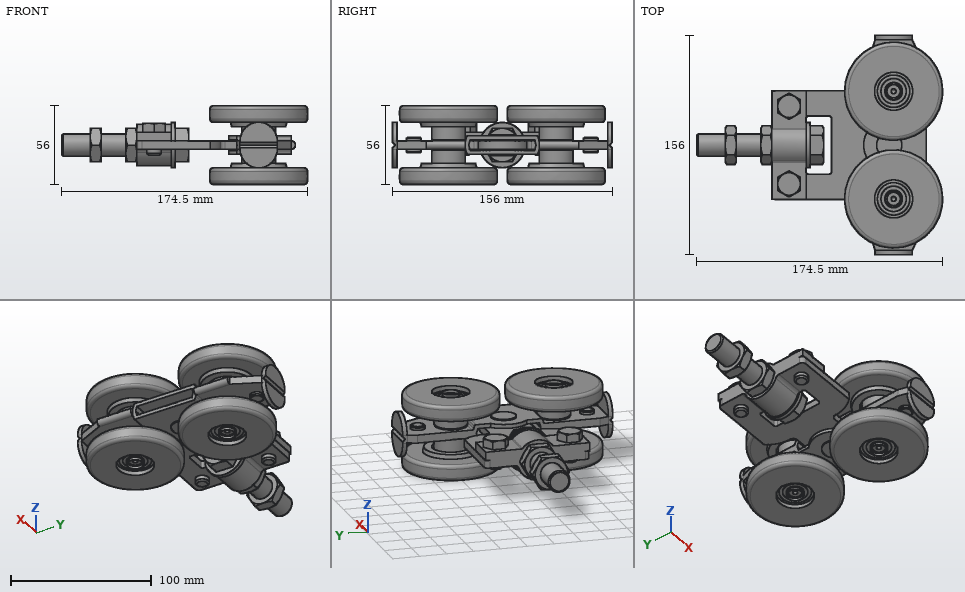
import cadquery as cq
import math


plate_half_thick = 3.0
plate_half_width = 38.7
plate_start_x = 53.2
plate_corner_radius = 3.3
plate_shoulder_x = 105.2
plate_end_x = 112.4
plate_end_half_width = 20.5
tongue_fillet = 3.1
tongue_half_width = plate_end_half_width - tongue_fillet
window_end_x = 95.5
window_half_width = 20.6
window_corner_radius = 1.7

wheel_x = 139.6
wheel_y = 38.2
wheel_radius = 34.9
wheel_top_z = 28.0
wheel_bottom_z = 16.0
wheel_edge_radius = 2.6
wheel_crown = 0.2
flange_bottom_z = 13.0
flange_bottom_radius = 19.2
flange_top_radius = 20.0
boss_radius = 24.0 / 2
boss_bottom_z = 3.8
spacer_radius = 11.5
recess_radius = 27.0 / 2
recess_depth = 3.5
seal_outer_radius = 23.0 / 2
seal_inner_radius = 18.0 / 2
seal_height = 0.9
axle_radius = 6.3
axle_drop = 0.5
axle_cup_radius = 6.0
axle_cup_depth = 2.3
axle_step_radius = 9.5 / 2
axle_step_depth = 0.2
axle_center_radius = 3.5 / 2

arm_edge_x = 124.2
arm_back_x = 162.8
arm_end_y = 74.7
sheet_thick = 3.0
sheet_lift = 3.7
joggle_start_y = 25.1
joggle_run = 1.0
joggle_wall = 2.3
joggle_fillet = 1.2
arm_neck_y = 67.7
arm_taper_y = 54.1
pivot_x = 136.5
pivot_lug_radius = 18.1
pivot_radius = 18.0 / 2
pivot_pin_rise = 0.9
rivet_y = 62.8
rivet_radius = 10.5 / 2
rivet_half_height = 5.5
rivet_chamfer = 0.9

disc_half_width = 13.3
disc_thick = 3.3
disc_groove = 2.0

clamp_length = 24.3
clamp_half_width = 38.5
clamp_top_z = 9.2
barrel_radius = 14.8
barrel_top_fillet = 1.0
barrel_bottom_fillet = 3.1
screw_y = 27.5
screw_radius = 10.1 / 2
screw_end_z = -7.2
screw_end_chamfer = 1.2
screw_head_flats = 16.0
screw_head_height = 6.3

stud_radius = 16.0 / 2
stud_tip_chamfer = 1.0
hex_flats = 23.9
nut_length = 7.9
lock_nut_x = 20.0
washer_radius = 16.14
washer_thick = 2.8
head_length = 9.8

clamp_end_x = plate_start_x + clamp_length
screw_x = plate_start_x + clamp_length / 2
window_start_x = clamp_end_x


def hexagon(plane, flats, length, both_ends):
    """Hexagonal prism with its corners rounded off by a 30 degree cone on the far or both ends."""
    corner_radius = flats / math.sqrt(3)
    bevel = (corner_radius - flats / 2) * math.tan(math.radians(30))
    prism = cq.Workplane(plane).polygon(6, 2 * corner_radius).extrude(length)
    cone = cq.Workplane(plane).circle(corner_radius).extrude(length)
    bevelled = cone.faces(cq.selectors.DirectionMinMaxSelector(plane.zDir, True))
    if both_ends:
        bevelled = cone.faces(cq.selectors.ParallelDirSelector(plane.zDir))
    return prism.intersect(bevelled.edges().chamfer(bevel, corner_radius - flats / 2))


def hexagon_along_x(start_x, length, both_ends):
    """Hexagon on the stud axis, with corners at +Y and -Y."""
    plane = cq.Plane(origin=(start_x, 0, 0), xDir=(0, 1, 0), normal=(1, 0, 0))
    return hexagon(plane, hex_flats, length, both_ends)


def cylinder_along_x(radius, start_x, end_x):
    return cq.Workplane("YZ", origin=(start_x, 0, 0)).circle(radius).extrude(end_x - start_x)


def plate_slab(outline):
    """Extrude an outline drawn in the XY plane through the plate thickness."""
    return outline.extrude(2 * plate_half_thick)


def make_plate():
    base = cq.Workplane("XY", origin=(0, 0, -plate_half_thick))
    rise = plate_end_x - plate_shoulder_x
    run = plate_half_width - plate_end_half_width
    edge_radius = (rise**2 + run**2) / (2 * rise)
    half_angle = math.asin(run / edge_radius) / 2
    edge_mid_x = plate_end_x - edge_radius * (1 - math.cos(half_angle))
    edge_mid_y = plate_end_half_width + edge_radius * math.sin(half_angle)
    fillet_end_x = plate_end_x + tongue_fillet
    plate = plate_slab(
        base.moveTo(plate_start_x, -plate_half_width)
        .lineTo(plate_shoulder_x, -plate_half_width)
        .threePointArc((edge_mid_x, -edge_mid_y), (plate_end_x, -plate_end_half_width))
        .radiusArc((fillet_end_x, -tongue_half_width), tongue_fillet)
        .lineTo(pivot_x, -tongue_half_width)
        .threePointArc((pivot_x + tongue_half_width, 0), (pivot_x, tongue_half_width))
        .lineTo(fillet_end_x, tongue_half_width)
        .radiusArc((plate_end_x, plate_end_half_width), tongue_fillet)
        .threePointArc((edge_mid_x, edge_mid_y), (plate_shoulder_x, plate_half_width))
        .lineTo(plate_start_x, plate_half_width)
        .close()
    )
    plate = plate.edges("|Z and <X").fillet(plate_corner_radius)
    window_length = window_end_x - window_start_x
    window = plate_slab(
        base.center(window_start_x + window_length / 2, 0).rect(window_length, 2 * window_half_width)
    )
    window = window.edges("|Z").fillet(window_corner_radius)
    pivot_hole = plate_slab(base.center(pivot_x, 0).circle(pivot_radius))
    return plate.cut(window).cut(pivot_hole)


def make_arm_outline():
    """Plan shape of the arm: a long bar with a round lug around the pivot."""
    half = [
        (arm_back_x, arm_taper_y),
        (wheel_x + disc_half_width, arm_end_y),
        (wheel_x - disc_half_width, arm_end_y),
        (arm_edge_x, arm_neck_y),
    ]
    mirrored = [(x, -y) for x, y in reversed(half)]
    height = 2 * (sheet_lift + sheet_thick)
    base = cq.Workplane("XY", origin=(0, 0, -height / 2))
    bar = base.polyline(half + mirrored).close().extrude(height)
    lug = base.center(pivot_x, 0).circle(pivot_lug_radius).extrude(height)
    return bar.union(lug)


def make_pivot_pin():
    """Pin through both sheets and the tongue, standing slightly proud of the sheets."""
    half_height = sheet_lift + sheet_thick + pivot_pin_rise
    base = cq.Workplane("XY", origin=(pivot_x, 0, -half_height))
    return base.circle(pivot_radius).extrude(2 * half_height)


def make_arm():
    """Two sheets, together at the wheels and spread apart around the hanger plate's tongue."""
    cheek_top_z = sheet_lift + sheet_thick
    joggle_end_y = joggle_start_y + joggle_run
    inner_start_y = joggle_start_y - joggle_wall
    half_bottom = [(inner_start_y, sheet_lift), (inner_start_y + joggle_run, 0), (arm_end_y, 0)]
    half_top = [(arm_end_y, sheet_thick), (joggle_end_y, sheet_thick), (joggle_start_y, cheek_top_z)]
    half = half_bottom + half_top
    mirrored = [(-y, z) for y, z in reversed(half)]
    upper_sheet = cq.Workplane("YZ").polyline(half + mirrored).close().extrude(arm_back_x)
    for y, z in half_top[1:]:
        for side in (-1, 1):
            bend = cq.selectors.NearestToPointSelector((arm_back_x / 2, side * y, z))
            upper_sheet = upper_sheet.edges("|X").edges(bend).fillet(joggle_fillet)
    sheets = upper_sheet.union(upper_sheet.mirror("XY"))
    arm = sheets.intersect(make_arm_outline()).cut(make_pivot_pin())
    for side in (-1, 1):
        hem = (
            cq.Workplane("XZ", origin=(arm_back_x, side * joggle_end_y, 0))
            .circle(sheet_thick)
            .extrude(-side * (arm_taper_y - joggle_end_y))
        )
        arm = arm.union(hem)
    return arm


def make_roller():
    """Wheel above the arm with its flange, boss and axle end, on the Z axis."""
    tread_radius = wheel_radius - wheel_crown
    tread_mid_z = (wheel_bottom_z + wheel_top_z) / 2
    floor_z = wheel_top_z - recess_depth
    axle_top_z = wheel_top_z - axle_drop
    cup_floor_z = axle_top_z - axle_cup_depth
    step_floor_z = cup_floor_z - axle_step_depth
    seal_mid_radius = (seal_inner_radius + seal_outer_radius) / 2
    profile = (
        cq.Workplane("XZ")
        .lineTo(spacer_radius, 0)
        .lineTo(spacer_radius, boss_bottom_z)
        .lineTo(boss_radius, boss_bottom_z)
        .lineTo(boss_radius, flange_bottom_z + recess_depth)
        .lineTo(recess_radius, flange_bottom_z + recess_depth)
        .lineTo(recess_radius, flange_bottom_z)
        .lineTo(flange_bottom_radius, flange_bottom_z)
        .lineTo(flange_top_radius, wheel_bottom_z)
        .lineTo(tread_radius - wheel_edge_radius, wheel_bottom_z)
        .radiusArc((tread_radius, wheel_bottom_z + wheel_edge_radius), -wheel_edge_radius)
        .threePointArc((wheel_radius, tread_mid_z), (tread_radius, wheel_top_z - wheel_edge_radius))
        .radiusArc((tread_radius - wheel_edge_radius, wheel_top_z), -wheel_edge_radius)
        .lineTo(recess_radius, wheel_top_z)
        .lineTo(recess_radius, floor_z)
        .lineTo(seal_outer_radius, floor_z)
        .threePointArc((seal_mid_radius, floor_z + seal_height), (seal_inner_radius, floor_z))
        .lineTo(axle_radius, floor_z)
        .lineTo(axle_radius, axle_top_z)
        .lineTo(axle_cup_radius, axle_top_z)
        .lineTo(axle_cup_radius, cup_floor_z)
        .lineTo(axle_step_radius, cup_floor_z)
        .lineTo(axle_step_radius, step_floor_z)
        .lineTo(axle_center_radius, step_floor_z)
        .lineTo(0, step_floor_z - axle_center_radius)
        .close()
    )
    return profile.revolve(360, (0, 0, 0), (0, 1, 0))


def make_end_disc():
    """Rounded end plate on the -Y end of the arm, with a V groove across its outer face."""
    outer_y = -(arm_end_y + disc_thick)
    disc = (
        cq.Workplane("XZ", origin=(wheel_x, -arm_end_y, 0))
        .slot2D(2 * (disc_half_width + sheet_thick), 2 * disc_half_width, 90)
        .extrude(disc_thick)
    )
    groove = (
        cq.Workplane("YZ", origin=(wheel_x, 0, 0))
        .polyline([(outer_y, disc_groove), (outer_y + disc_groove, 0), (outer_y, -disc_groove)])
        .close()
        .extrude(disc_half_width, both=True)
    )
    return disc.cut(groove)


def make_rivet():
    rivet = cq.Workplane("XY").circle(rivet_radius).extrude(rivet_half_height, both=True)
    return rivet.faces("|Z").edges().chamfer(rivet_chamfer)


def make_carriage():
    carriage = make_arm()
    upper_roller = make_roller()
    lower_roller = upper_roller.mirror("XY")
    rivet = make_rivet()
    near_disc = make_end_disc()
    for side in (-1, 1):
        axle_place = (wheel_x, side * wheel_y, 0)
        carriage = carriage.union(upper_roller.translate(axle_place))
        carriage = carriage.union(lower_roller.translate(axle_place))
        carriage = carriage.union(rivet.translate((wheel_x, side * rivet_y, 0)))
    return carriage.union(near_disc).union(near_disc.mirror("XZ"))


def make_screw():
    """Hexagon-head screw on the Z axis, with its head on the clamp's top face."""
    plane = cq.Plane(origin=(0, 0, clamp_top_z), xDir=(0, 1, 0), normal=(0, 0, 1))
    head = hexagon(plane, screw_head_flats, screw_head_height, both_ends=False)
    shank = (
        cq.Workplane("XY", origin=(0, 0, screw_end_z))
        .circle(screw_radius)
        .extrude(clamp_top_z - screw_end_z)
    )
    shank = shank.faces("<Z").edges().chamfer(screw_end_chamfer)
    return head.union(shank)


def make_hanger():
    """Plate with the clamp block on it, a barrel through both, and the two fixing screws."""
    block = (
        cq.Workplane("XY", origin=(screw_x, 0, plate_half_thick))
        .rect(clamp_length, 2 * clamp_half_width)
        .extrude(clamp_top_z - plate_half_thick)
    )
    hanger = make_plate().union(block)
    hanger = hanger.union(cylinder_along_x(barrel_radius, plate_start_x, clamp_end_x))
    for seam_z, radius in ((clamp_top_z, barrel_top_fillet), (-plate_half_thick, barrel_bottom_fillet)):
        seam_y = math.sqrt(barrel_radius**2 - seam_z**2)
        for side in (-1, 1):
            seam = cq.selectors.NearestToPointSelector((screw_x, side * seam_y, seam_z))
            hanger = hanger.edges("|X").edges(seam).fillet(radius)
    hanger = hanger.cut(cylinder_along_x(stud_radius, plate_start_x, clamp_end_x))
    screw = make_screw()
    for side in (-1, 1):
        hanger = hanger.union(screw.translate((screw_x, side * screw_y, 0)))
    return hanger


def make_stud():
    """Stud with its lock nut, clamp nut, washer and hexagon head."""
    washer_end_x = clamp_end_x + washer_thick
    stud = cylinder_along_x(stud_radius, 0, washer_end_x)
    stud = stud.faces("<X").edges().chamfer(stud_tip_chamfer)
    for nut_x in (lock_nut_x, plate_start_x - nut_length):
        stud = stud.union(hexagon_along_x(nut_x, nut_length, both_ends=True))
    stud = stud.union(cylinder_along_x(washer_radius, clamp_end_x, washer_end_x))
    return stud.union(hexagon_along_x(washer_end_x, head_length, both_ends=False))


carriage = make_carriage()
pivot_pin = make_pivot_pin()
hanger = make_hanger()
stud = make_stud()

bodies = (carriage, pivot_pin, hanger, stud)
result = cq.Compound.makeCompound([body.solids().val() for body in bodies])